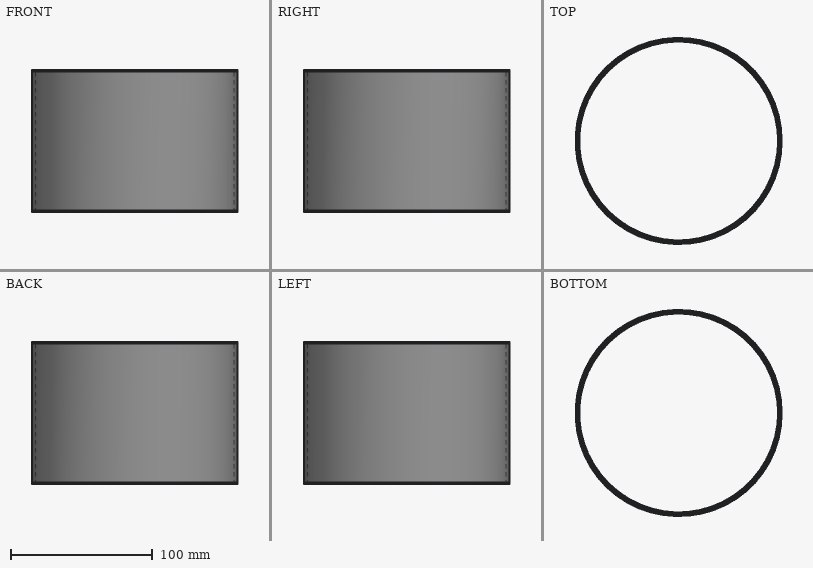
import cadquery as cq
import math

outer_diameter = 145.0
wall_thickness = 2.42
height = 100.0

outer_taper_height = 1.2
outer_taper_angle = 20.0

bore_chamfer = 0.6

outer_radius = outer_diameter / 2
bore_radius = outer_radius - wall_thickness
outer_taper_depth = outer_taper_height * math.tan(math.radians(outer_taper_angle))


def wall_section():
    """Wall outline in the XZ plane: radius along X, both ends tapered outside and chamfered inside."""
    outer_rim_radius = outer_radius - outer_taper_depth
    bore_rim_radius = bore_radius + bore_chamfer
    outline = [
        (outer_rim_radius, 0),
        (outer_radius, outer_taper_height),
        (outer_radius, height - outer_taper_height),
        (outer_rim_radius, height),
        (bore_rim_radius, height),
        (bore_radius, height - bore_chamfer),
        (bore_radius, bore_chamfer),
        (bore_rim_radius, 0),
    ]
    return cq.Workplane("XZ").polyline(outline).close()


def make_sleeve():
    """Open sleeve standing on the XY plane, its wall section turned around the Z axis."""
    axis_start = (0, 0)
    axis_end = (0, 1)
    return wall_section().revolve(360, axis_start, axis_end)


result = make_sleeve()